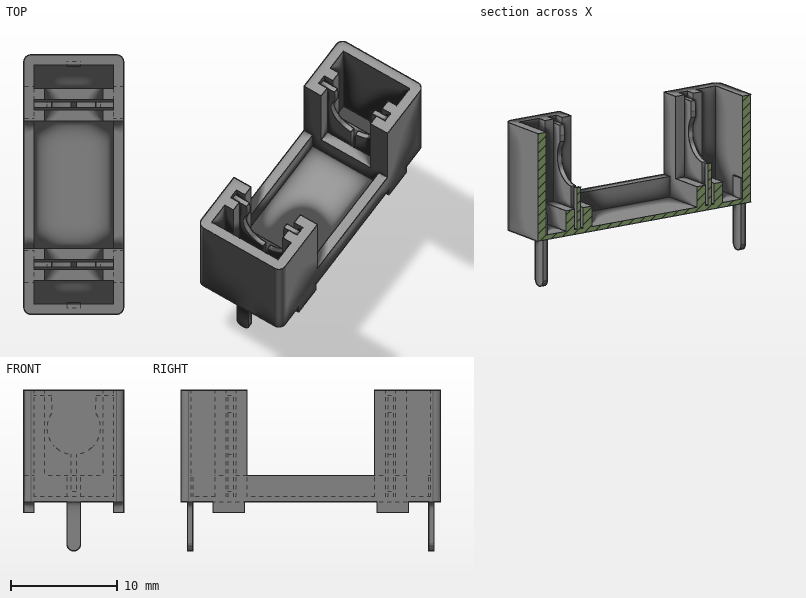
import cadquery as cq
import math


width = 9.4
length = 24.4
height = 10.5
corner_radius = 0.7
wall = 0.97
floor_thickness = 0.5
sill_height = 2.5
half_length = length / 2
inner_width = width - 2 * wall

tower_depth = 6.22
end_pocket_depth = 3.2
groove_start = 4.22
groove_width = 0.96
rib_protrusion = 0.96
rib_gap = inner_width - 2 * rib_protrusion

plate_thickness = 0.5
plate_recess = 0.5
plate_top = height - plate_recess
fuse_radius = 2.5
fuse_center_z = 6.95
mouth_top_width = 4.2
neck_width = 4.08
neck_taper_height = 1.0
relief_slot_width = 0.5
bridge_height = 0.5

pin_width = 1.3
pin_thickness = 0.5
pin_inset = 0.62
pin_length = 4.6
pin_top = sill_height

foot_width = wall
foot_length = 3.0
foot_height = 1.0
foot_inset = 3.0


def block(size_x, depth_start, depth_end, z_bottom, z_top):
    """Box centred on X = 0, placed by depth from the +Y end face."""
    size_y = depth_end - depth_start
    return (
        cq.Workplane("XY")
        .box(size_x, size_y, z_top - z_bottom, centered=(True, False, False))
        .translate((0, half_length - depth_end, z_bottom))
    )


def make_housing_blank():
    """Rounded block with the space between the two towers cleared out."""
    blank = (
        cq.Workplane("XY")
        .box(width, length, height, centered=(True, True, False))
        .edges("|Z")
        .fillet(corner_radius)
    )
    gap_end = length - tower_depth
    opening = block(width, tower_depth, gap_end, sill_height, height)
    center_pocket = block(inner_width, tower_depth, gap_end, floor_thickness, sill_height)
    return blank.cut(opening).cut(center_pocket)


def make_tower_cavity():
    """End pocket, plate groove and the passage between the ribs of the +Y tower."""
    end_pocket = block(inner_width, wall, end_pocket_depth, floor_thickness, height)
    groove = block(inner_width, groove_start, groove_start + groove_width, floor_thickness, height)
    passage = block(rib_gap, end_pocket_depth, tower_depth, sill_height, height)
    return end_pocket.union(groove).union(passage)


def make_contact_plate():
    """Plate centred in the groove, with a fuse seat, tapered mouth and a relief slot."""
    start = groove_start + (groove_width - plate_thickness) / 2
    end = start + plate_thickness
    plate = block(inner_width, start, end, floor_thickness, plate_top)

    neck_top = plate_top - neck_taper_height
    neck_half = neck_width / 2
    slot_half = relief_slot_width / 2
    mouth_half = mouth_top_width / 2
    neck_bottom = fuse_center_z + math.sqrt(fuse_radius**2 - neck_half**2)
    slot_bottom = floor_thickness + bridge_height
    slot_top = fuse_center_z - math.sqrt(fuse_radius**2 - slot_half**2)
    opening = (
        cq.Workplane("XZ", origin=(0, half_length - end, 0))
        .moveTo(-slot_half, slot_bottom)
        .lineTo(slot_half, slot_bottom)
        .lineTo(slot_half, slot_top)
        .threePointArc((fuse_radius, fuse_center_z), (neck_half, neck_bottom))
        .lineTo(neck_half, neck_top)
        .lineTo(mouth_half, plate_top)
        .lineTo(-mouth_half, plate_top)
        .lineTo(-neck_half, neck_top)
        .lineTo(-neck_half, neck_bottom)
        .threePointArc((-fuse_radius, fuse_center_z), (-slot_half, slot_top))
        .close()
        .extrude(-plate_thickness)
    )
    return plate.cut(opening)


def make_pin():
    """Flat solder pin with a fully rounded tip, partly embedded in the end wall."""
    tip_radius = pin_width / 2
    shank = block(pin_width, pin_inset, pin_inset + pin_thickness, tip_radius - pin_length, pin_top)
    tip = (
        cq.Workplane("XZ", origin=(0, half_length - pin_inset - pin_thickness, 0))
        .center(0, tip_radius - pin_length)
        .circle(tip_radius)
        .extrude(-pin_thickness)
    )
    return shank.union(tip)


def make_feet():
    """Pair of standoff feet under the side walls of the +Y tower."""
    strip = block(width, foot_inset, foot_inset + foot_length, -foot_height, 0)
    middle = block(width - 2 * foot_width, foot_inset, foot_inset + foot_length, -foot_height, 0)
    return strip.cut(middle)


def at_both_ends(shape):
    """The +Y end shape together with its mirror image at the -Y end."""
    return [shape, shape.mirror("XZ")]


result = make_housing_blank()
for cavity in at_both_ends(make_tower_cavity()):
    result = result.cut(cavity)
for make_feature in (make_contact_plate, make_pin, make_feet):
    for feature in at_both_ends(make_feature()):
        result = result.union(feature)